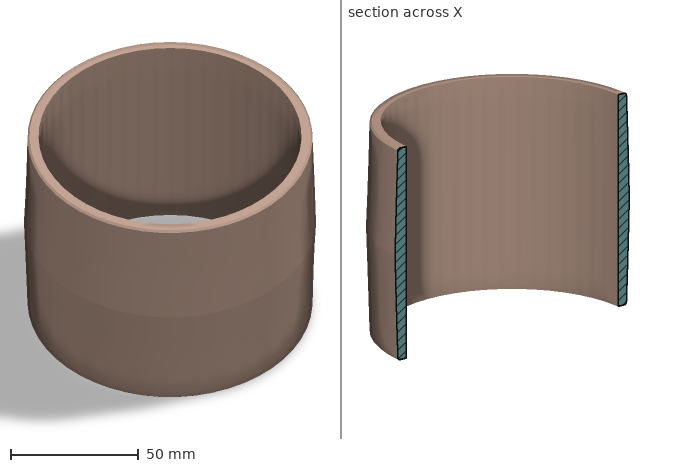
import cadquery as cq

height = 87.9
bore_diameter = 102.9
middle_diameter = 114.3
end_diameter = 111.5
edge_chamfer = 0.8
land_height = 0.1

bore_radius = bore_diameter / 2
middle_radius = middle_diameter / 2
end_radius = end_diameter / 2
rim_radius = end_radius - edge_chamfer
half_height = height / 2
half_land = land_height / 2
shoulder_z = half_height - edge_chamfer

profile = (
    cq.Workplane("XZ")
    .moveTo(bore_radius, -half_height)
    .lineTo(rim_radius, -half_height)
    .lineTo(end_radius, -shoulder_z)
    .lineTo(middle_radius, -half_land)
    .lineTo(middle_radius, half_land)
    .lineTo(end_radius, shoulder_z)
    .lineTo(rim_radius, half_height)
    .lineTo(bore_radius, half_height)
    .close()
)

result = profile.revolve(360, (0, 0, 0), (0, 1, 0))